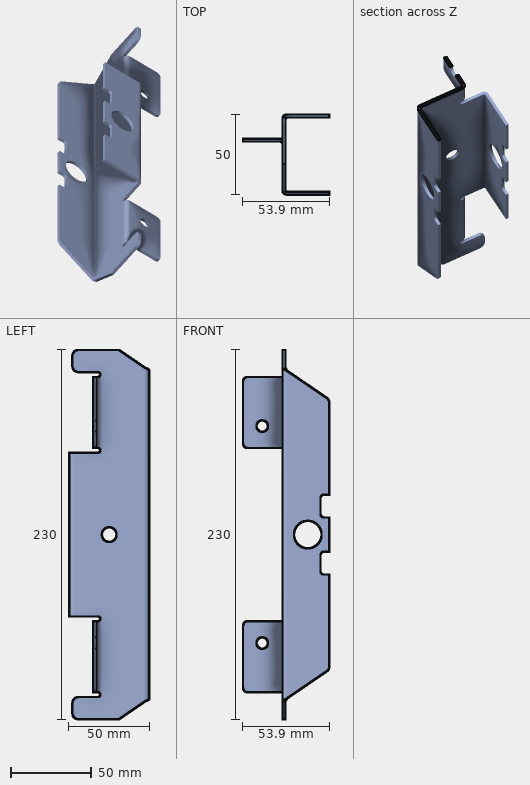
import math

import cadquery as cq

thickness = 2.0
inner_bend = 1.0
outer_bend = inner_bend + thickness

total_length = 53.85
width = 50.0
height = 230.0
flange_reach = 29.35
tab_reach = total_length - flange_reach
half_width = width / 2
half_height = height / 2

slope_start_y = -6.0
slope_angle = 34.3
end_slope = math.tan(math.radians(slope_angle))
slope_corner_radius = 4.0

opening_low = 51.0
opening_high = 101.0
relief_width = 2.8
ear_edge_y = 23.0
ear_top_radius = 4.0
ear_bottom_radius = 4.0

tab_face_y = 10.0
tab_bend_y = tab_face_y - outer_bend
tab_low = opening_low + relief_width
tab_high = opening_high - relief_width
tab_corner_radius = 3.0
tab_hole_diameter = 7.0
tab_hole_x = -12.5
tab_hole_z = 67.5

web_hole_diameter = 9.0
flange_hole_diameter = 17.0
flange_hole_x = 15.85
notch_depth = 5.5
notch_height = 14.0
notch_center_z = 17.75
notch_radius = 2.0

bend_start_y = -half_width + outer_bend
mid_radius = inner_bend + thickness / 2
mid_bend_length = math.pi / 2 * mid_radius
bend_top_web = half_height - (slope_start_y - bend_start_y) * end_slope
bend_top_flange = bend_top_web - mid_bend_length * end_slope
flange_tip_top = bend_top_flange - (flange_reach - outer_bend) * end_slope


def box(x_range, y_range, z_range):
    """Box spanning the given (low, high) ranges."""
    (x0, x1), (y0, y1), (z0, z1) = x_range, y_range, z_range
    return cq.Workplane("XY").box(x1 - x0, y1 - y0, z1 - z0, centered=False).translate((x0, y0, z0))


def both_ends(upper):
    """The upper feature joined with its mirror image at the lower end."""
    return upper.union(upper.mirror("XY"))


def round_hole_along_y(diameter, x, z):
    """Drill running across the full width of the part."""
    drill = cq.Workplane("XZ").center(x, z).circle(diameter / 2)
    return drill.extrude(half_width + thickness, both=True)


def quarter_bend(center_x, center_y, corner, z_range):
    """Quarter ring about a vertical axis; corner gives the X and Y signs of its quadrant."""
    z0, z1 = z_range
    ring = cq.Workplane("XY").circle(outer_bend).circle(inner_bend).extrude(z1 - z0)
    sign_x, sign_y = corner
    quadrant = cq.Workplane("XY").box(outer_bend, outer_bend, z1 - z0, centered=(True, True, False))
    quadrant = quadrant.translate((sign_x * outer_bend / 2, sign_y * outer_bend / 2, 0))
    return ring.intersect(quadrant).translate((center_x, center_y, z0))


def make_web():
    """Flat web with sloped ends, plus the square openings for the tabs."""
    outline = [
        (bend_start_y, -bend_top_web),
        (slope_start_y, -half_height),
        (ear_edge_y, -half_height),
        (ear_edge_y, -opening_high),
        (tab_bend_y, -opening_high),
        (tab_bend_y, -opening_low),
        (half_width - outer_bend, -opening_low),
    ]
    mirrored = [(y, -z) for y, z in reversed(outline)]
    web = cq.Workplane("YZ").polyline(outline + mirrored).close().extrude(thickness)
    for end in (1, -1):
        for z, radius in ((half_height, ear_top_radius), (opening_high, ear_bottom_radius)):
            corner = cq.selectors.NearestToPointSelector((thickness / 2, ear_edge_y, end * z))
            web = web.edges("|X").edges(corner).fillet(radius)
    hole = cq.Workplane("YZ").circle(web_hole_diameter / 2).extrude(thickness)
    return web.cut(hole)


def make_relief_slots():
    """Round-ended slots that separate each tab from the web at its bend."""
    radius = relief_width / 2
    slots = cq.Workplane("XY")
    for z in (opening_low + radius, opening_high - radius):
        end = cq.Workplane("YZ").center(tab_bend_y, z).circle(radius).extrude(thickness)
        slots = slots.add(end)
    return both_ends(slots.combine())


def make_front_flange():
    """Flange on the -Y side whose ends continue the slope of the web."""
    outline = [
        (outer_bend, -bend_top_flange),
        (flange_reach, -flange_tip_top),
        (flange_reach, flange_tip_top),
        (outer_bend, bend_top_flange),
    ]
    flange = cq.Workplane("XZ", origin=(0, -half_width + thickness, 0))
    flange = flange.polyline(outline).close().extrude(thickness)
    return flange.edges("|Y and >X").fillet(slope_corner_radius)


def make_front_bend():
    """Bend between web and front flange, its ends cut along a helix to carry the slope round."""
    bend = quarter_bend(outer_bend, bend_start_y, (-1, -1), (-bend_top_web, bend_top_web))
    rise = bend_top_web - bend_top_flange
    cutter_width = thickness + inner_bend / 2
    lead_angle = 45
    helix = cq.Wire.makeHelix(4 * rise, 2 * rise, mid_radius)
    profile = cq.Workplane("XZ").center(mid_radius, -rise).rect(cutter_width, 2 * rise)
    cutter = profile.sweep(cq.Workplane(obj=helix), isFrenet=True)
    cutter = cutter.rotate((0, 0, 0), (0, 0, 1), 180 - lead_angle)
    cutter = cutter.translate((outer_bend, bend_start_y, -bend_top_web - rise / 2))
    return bend.cut(both_ends(cutter))


def make_rear_flange():
    """Shorter square-ended flange on the +Y side with its bend."""
    z_range = (-opening_low, opening_low)
    plate = box((outer_bend, flange_reach), (half_width - thickness, half_width), z_range)
    bend = quarter_bend(outer_bend, half_width - outer_bend, (-1, 1), z_range)
    return plate.union(bend)


def make_tab():
    """Upper mounting tab, bent out of the web towards -X."""
    plate = box((-tab_reach, -inner_bend), (tab_face_y - thickness, tab_face_y), (tab_low, tab_high))
    plate = plate.edges("|Y and <X").fillet(tab_corner_radius)
    bend = quarter_bend(-inner_bend, tab_bend_y, (1, 1), (tab_low, tab_high))
    return plate.union(bend).cut(round_hole_along_y(tab_hole_diameter, tab_hole_x, tab_hole_z))


def make_edge_notch():
    """Upper notch in the free edges of both flanges, rounded at its inner corners."""
    x_range = (flange_reach - notch_depth, flange_reach + notch_depth)
    z_range = (notch_center_z - notch_height / 2, notch_center_z + notch_height / 2)
    notch = box(x_range, (-half_width, half_width), z_range)
    return notch.edges("|Y and <X").fillet(notch_radius)


web = make_web().cut(make_relief_slots())
bracket = web.union(make_front_bend()).union(make_front_flange()).union(make_rear_flange())
bracket = bracket.union(both_ends(make_tab()))
bracket = bracket.cut(round_hole_along_y(flange_hole_diameter, flange_hole_x, 0))
result = bracket.cut(both_ends(make_edge_notch()))